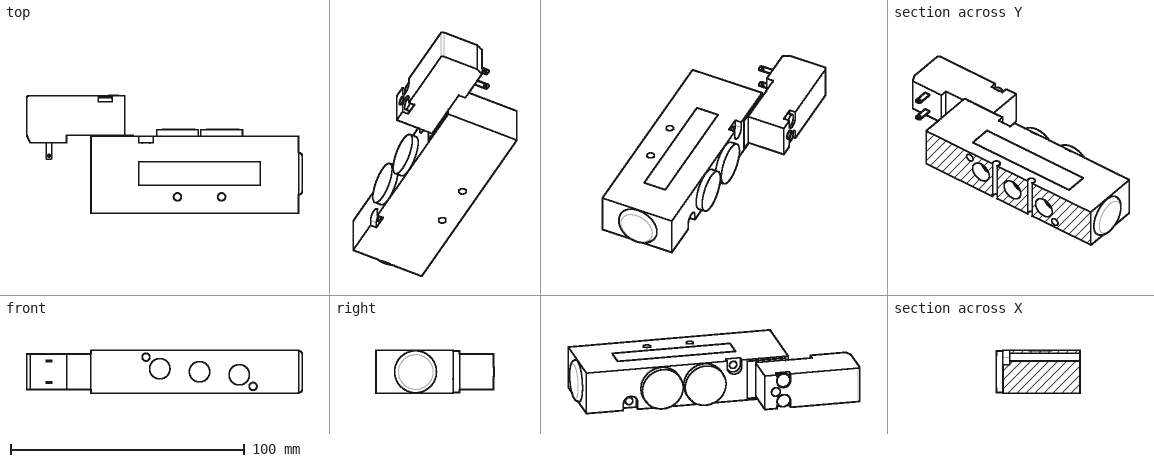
import cadquery as cq
import math


OVERALL_LENGTH = 118.1

BLOCK_LEFT = 27.5
BLOCK_RIGHT = 116.5
BLOCK_DEPTH = 33.1
BLOCK_HEIGHT = 18.5
BLOCK_LENGTH = BLOCK_RIGHT - BLOCK_LEFT
BLOCK_TOP = BLOCK_HEIGHT / 2
PATTERN_X = 74.0

PORT_DIAMETER = 8.7
PORT_DEPTH = 11.8
PORT_PITCH = 17.0
PORT_DROP = 1.3

FIXING_DIAMETER = 3.2
FRONT_FIXING_OFFSET_X = 22.9
FRONT_FIXING_OFFSET_Z = 6.3
FRONT_POCKET_WIDTH = 6.4
FRONT_POCKET_DEPTH = 2.8
TOP_FIXING_Y = 7.1

LABEL_LENGTH = 52.0
LABEL_WIDTH = 10.0
CENTRE_Y = 17.0
LABEL_DEPTH = 0.1

DISC_DIAMETER = 18.0
DISC_HEIGHT = 2.8
DISC_DOME = 0.1
DISC_PITCH = 18.9
CAP_HEIGHT = OVERALL_LENGTH - BLOCK_RIGHT
CAP_ROUNDING = 1.5

GASKET_SIZE = 17.0
GASKET_THICKNESS = 0.4
PILOT_AXIS_X = 37.2

PILOT_LENGTH = 42.0
PILOT_HEIGHT = 15.4
PILOT_BACK = 50.4
PILOT_SEAT = BLOCK_DEPTH + GASKET_THICKNESS
PILOT_FRONT = 30.2
PILOT_FOOT_LENGTH = 17.1
PILOT_CHAMFER_X = 1.5
PILOT_ROUNDING = 1.1

BUTTON_DIAMETER = 3.9
BUTTON_HEIGHT = 0.2

SCREW_X = 33.7
SCREW_OFFSET_Z = 4.6
SCREW_HEAD_DIAMETER = 5.8
SCREW_HEAD_HEIGHT = 1.8
SCREW_HEAD_DOME = 0.7
SCREW_POCKET_WIDTH = 5.9
SCREW_POCKET_DEPTH = 2.7

TERMINAL_X = 9.6
TERMINAL_OFFSET_Z = 4.6
TERMINAL_WIDTH = 2.5
TERMINAL_THICKNESS = 0.5
TERMINAL_LENGTH = 7.1
TERMINAL_CHAMFER = 0.4
TERMINAL_HOLE_DIAMETER = 1.0
TERMINAL_HOLE_FROM_TIP = 1.5


def cylinder_along_y(diameter, length, x, y, z):
    """Cylinder that starts at (x, y, z) and runs towards +Y."""
    axis = cq.Vector(0, 1, 0)
    return cq.Workplane(cq.Solid.makeCylinder(diameter / 2, length, cq.Vector(x, y, z), axis))


def domed_disc(diameter, rim_height, dome_height, x, y, z):
    """Disc that rises from (x, y, z) towards +Y, with a shallow spherical end."""
    radius = diameter / 2
    sphere_radius = (radius**2 + dome_height**2) / (2 * dome_height)
    half_angle = math.asin(radius / sphere_radius) / 2
    arc_middle_x = sphere_radius * math.sin(half_angle)
    arc_middle_y = rim_height + dome_height - sphere_radius * (1 - math.cos(half_angle))
    return (
        cq.Workplane("XY", origin=(x, y, z))
        .lineTo(radius, 0)
        .lineTo(radius, rim_height)
        .threePointArc((arc_middle_x, arc_middle_y), (0, rim_height + dome_height))
        .close()
        .revolve(360, (0, 0, 0), (0, 1, 0))
    )


def open_pocket(width, depth, x, y, z, mouth_z):
    """Round-bottomed pocket along Y whose straight walls open through the face at mouth_z."""
    pocket = cylinder_along_y(width, depth, x, y, z)
    mouth = (
        cq.Workplane("XY", origin=(x, y, (z + mouth_z) / 2))
        .box(width, depth, abs(mouth_z - z), centered=(True, False, True))
    )
    return pocket.union(mouth)


def cut_ports(block):
    for step in (-1, 0, 1):
        x = PATTERN_X + step * PORT_PITCH
        block = block.cut(cylinder_along_y(PORT_DIAMETER, PORT_DEPTH, x, 0, -step * PORT_DROP))
    return block


def cut_front_fixings(block):
    """Two diagonal through holes with back pockets that open to the top and bottom faces."""
    for side in (-1, 1):
        x = PATTERN_X + side * FRONT_FIXING_OFFSET_X
        z = -side * FRONT_FIXING_OFFSET_Z
        pocket_floor = BLOCK_DEPTH - FRONT_POCKET_DEPTH
        block = block.cut(cylinder_along_y(FIXING_DIAMETER, BLOCK_DEPTH, x, 0, z))
        mouth_z = -side * BLOCK_TOP
        block = block.cut(
            open_pocket(FRONT_POCKET_WIDTH, FRONT_POCKET_DEPTH, x, pocket_floor, z, mouth_z)
        )
    return block


def cut_top_fixings(block):
    hole_centres = [(PATTERN_X + side * DISC_PITCH / 2, TOP_FIXING_Y) for side in (-1, 1)]
    holes = (
        cq.Workplane("XY", origin=(0, 0, -BLOCK_TOP))
        .pushPoints(hole_centres)
        .circle(FIXING_DIAMETER / 2)
        .extrude(BLOCK_HEIGHT)
    )
    return block.cut(holes)


def cut_label_recess(block):
    recess = (
        cq.Workplane("XY", origin=(PATTERN_X, CENTRE_Y, BLOCK_TOP))
        .rect(LABEL_LENGTH, LABEL_WIDTH)
        .extrude(-LABEL_DEPTH)
    )
    return block.cut(recess)


def add_back_discs(block):
    for side in (-1, 1):
        x = PATTERN_X + side * DISC_PITCH / 2
        block = block.union(domed_disc(DISC_DIAMETER, DISC_HEIGHT, DISC_DOME, x, BLOCK_DEPTH, 0))
    return block


def add_end_cap(block):
    cap = (
        cq.Workplane("YZ", origin=(BLOCK_RIGHT, CENTRE_Y, 0))
        .circle(DISC_DIAMETER / 2)
        .extrude(CAP_HEIGHT)
        .faces(">X")
        .edges()
        .fillet(CAP_ROUNDING)
    )
    return block.union(cap)


def make_valve():
    block = (
        cq.Workplane("XY", origin=(BLOCK_LEFT, 0, 0))
        .box(BLOCK_LENGTH, BLOCK_DEPTH, BLOCK_HEIGHT, centered=(False, False, True))
    )
    block = cut_ports(block)
    block = cut_front_fixings(block)
    block = cut_top_fixings(block)
    block = cut_label_recess(block)
    block = add_back_discs(block)
    return add_end_cap(block)


def make_gasket():
    return (
        cq.Workplane("XY", origin=(PILOT_AXIS_X, BLOCK_DEPTH, 0))
        .box(GASKET_SIZE, GASKET_THICKNESS, GASKET_SIZE, centered=(True, False, True))
    )


def make_pilot_housing():
    """L-shaped housing: the foot at the left end hangs in front of the seat on the gasket."""
    return (
        cq.Workplane("XY", origin=(0, 0, -PILOT_HEIGHT / 2))
        .moveTo(0, PILOT_BACK)
        .lineTo(PILOT_LENGTH, PILOT_BACK)
        .lineTo(PILOT_LENGTH, PILOT_SEAT)
        .lineTo(PILOT_FOOT_LENGTH, PILOT_SEAT)
        .lineTo(PILOT_FOOT_LENGTH, PILOT_FRONT)
        .lineTo(PILOT_CHAMFER_X, PILOT_FRONT)
        .lineTo(0, PILOT_SEAT)
        .close()
        .extrude(PILOT_HEIGHT)
        .edges("|Z and <X and >Y")
        .fillet(PILOT_ROUNDING)
    )


def add_screw_heads(housing):
    """Fixing screw heads, each in a pocket that breaks out of the top or bottom face."""
    pocket_floor = PILOT_BACK - SCREW_POCKET_DEPTH
    for side in (-1, 1):
        z = side * SCREW_OFFSET_Z
        mouth_z = side * PILOT_HEIGHT / 2
        housing = housing.cut(
            open_pocket(SCREW_POCKET_WIDTH, SCREW_POCKET_DEPTH, SCREW_X, pocket_floor, z, mouth_z)
        )
        housing = housing.union(
            domed_disc(SCREW_HEAD_DIAMETER, SCREW_HEAD_HEIGHT, SCREW_HEAD_DOME, SCREW_X, pocket_floor, z)
        )
    return housing


def make_terminal(z):
    """Flat terminal tongue with a chamfered tip and a small hole."""
    tip_y = PILOT_FRONT - TERMINAL_LENGTH
    tongue = (
        cq.Workplane("XY", origin=(TERMINAL_X, tip_y, z))
        .box(TERMINAL_WIDTH, TERMINAL_LENGTH, TERMINAL_THICKNESS, centered=(True, False, True))
        .edges("|Z and <Y")
        .chamfer(TERMINAL_CHAMFER)
    )
    hole = (
        cq.Workplane("XY", origin=(TERMINAL_X, tip_y + TERMINAL_HOLE_FROM_TIP, z))
        .circle(TERMINAL_HOLE_DIAMETER / 2)
        .extrude(TERMINAL_THICKNESS, both=True)
    )
    return tongue.cut(hole)


def make_pilot():
    pilot = add_screw_heads(make_pilot_housing())
    button = cylinder_along_y(BUTTON_DIAMETER, BUTTON_HEIGHT, PILOT_AXIS_X, PILOT_BACK, 0)
    pilot = pilot.union(button)
    for side in (-1, 1):
        pilot = pilot.union(make_terminal(side * TERMINAL_OFFSET_Z))
    return pilot


valve = make_valve()
gasket = make_gasket()
pilot = make_pilot()

result = cq.Compound.makeCompound([valve.val(), gasket.val(), pilot.val()])